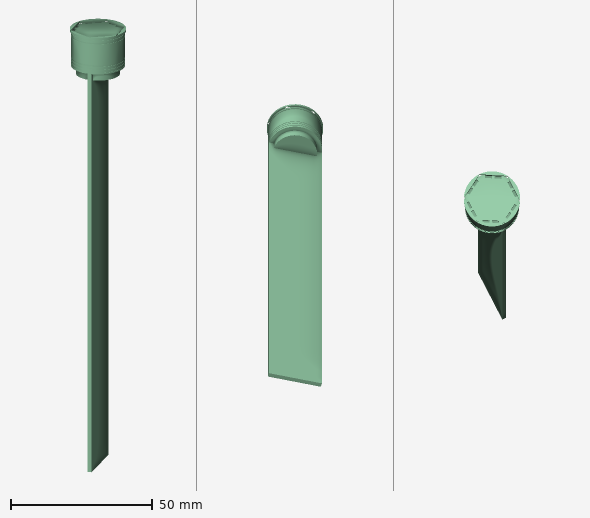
import cadquery as cq
import math

total_height = 164.0
flange_diameter = 20.0
flange_thickness = 0.8
barrel_diameter = 19.2
cap_height = 14.0

hex_sides = 6
hex_across_flats = 17.2
hex_depth = 0.8
slot_length = 5.9
slot_width = 1.0
slot_depth = 0.8
rib_length = 1.0

groove_depth = 0.2
neck_groove_width = 0.5
upper_groove_drop = 2.1
upper_groove_width = 0.5
lower_groove_drop = 10.5
lower_groove_width = 0.7
lower_groove_pitch = 1.1
lower_groove_count = 3

hub_diameter = 15.7
hub_length = 3.0
plug_length = 3.0

strip_width = barrel_diameter
strip_thickness = 1.5

cap_bottom = total_height - cap_height
hub_bottom = cap_bottom - hub_length
flange_bottom = total_height - flange_thickness


def disc(diameter, bottom, height):
    """Solid cylinder on the Z axis."""
    return cq.Workplane("XY").workplane(offset=bottom).circle(diameter / 2).extrude(height)


def ring_groove(drop, width):
    """Cutter for a square groove whose upper edge lies drop below the cap top."""
    bottom = total_height - drop - width
    core = disc(barrel_diameter - 2 * groove_depth, bottom, width)
    return disc(flange_diameter, bottom, width).cut(core)


def hex_recess():
    """Cutter for the recess, with two of its flats facing +X and -X."""
    corner_diameter = hex_across_flats / math.cos(math.pi / hex_sides)
    return (
        cq.Workplane("XY")
        .workplane(offset=total_height - hex_depth)
        .transformed(rotate=(0, 0, 180 / hex_sides))
        .polygon(hex_sides, corner_diameter)
        .extrude(hex_depth)
    )


def flat_slots():
    """Cutter for the recess floor: a slot along each flat, interrupted by its rib."""
    bottom = total_height - hex_depth - slot_depth
    radius = (hex_across_flats - slot_width) / 2
    half_length = (slot_length - rib_length) / 2
    half_offset = (rib_length + half_length) / 2
    pair = (
        cq.Workplane("XY")
        .workplane(offset=bottom)
        .pushPoints([(radius, -half_offset), (radius, half_offset)])
        .rect(slot_width, half_length)
        .extrude(slot_depth)
    )
    slots = cq.Workplane("XY")
    for flat in range(hex_sides):
        slots = slots.add(pair.rotate((0, 0, 0), (0, 0, 1), 360 / hex_sides * flat).vals())
    return slots.combine()


def hub_blank():
    """Whole hub cylinder, from its exposed end to the top of the bore."""
    return disc(hub_diameter, hub_bottom, hub_length + plug_length)


def make_cap():
    cap = disc(barrel_diameter, cap_bottom, cap_height)
    cap = cap.union(disc(flange_diameter, flange_bottom, flange_thickness))
    cap = cap.cut(hex_recess()).cut(flat_slots()).cut(hub_blank())
    cap = cap.cut(ring_groove(flange_thickness, neck_groove_width))
    cap = cap.cut(ring_groove(upper_groove_drop, upper_groove_width))
    for index in range(lower_groove_count):
        drop = lower_groove_drop + index * lower_groove_pitch
        cap = cap.cut(ring_groove(drop, lower_groove_width))
    return cap


def make_strip():
    return cq.Workplane("XY").box(
        strip_thickness, strip_width, cap_bottom, centered=(True, True, False)
    )


def make_hub(strip):
    return hub_blank().cut(strip)


cap = make_cap()
strip = make_strip()
hub = make_hub(strip)

result = cq.Compound.makeCompound([cap.val(), strip.val(), hub.val()])